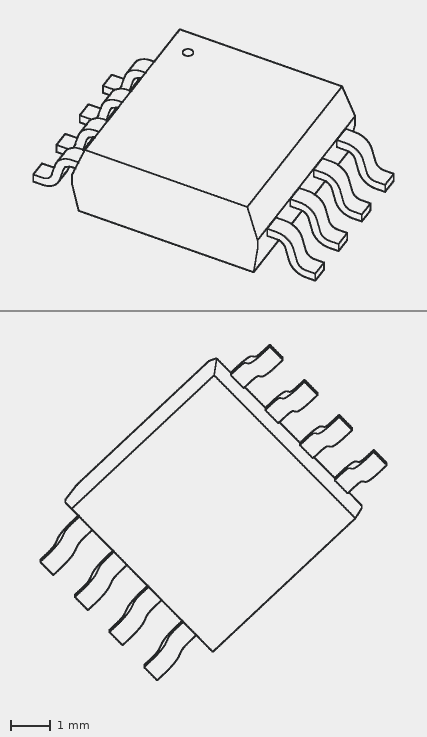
import cadquery as cq
import math

housing_side = 5.334
housing_height = 2.16
band_height = 0.29
end_draft_top = 19.7
end_draft_bottom = 9.3
side_draft = 4.7

overall_length = 8.1
leads_per_side = 4
lead_pitch = 1.27
lead_width = 0.48
lead_thickness = 0.245
lead_bend_radius = 0.265
lead_bend_angle = 75.0
shoulder_length = 0.265

marker_diameter = 0.27
marker_depth = 0.1
marker_edge_distance = 0.6

mid_height = housing_height / 2
half_side = housing_side / 2
band_bottom = mid_height - band_height / 2
band_top = mid_height + band_height / 2
taper_height = housing_height - band_top
first_lead_y = lead_pitch * (leads_per_side - 1) / 2
marker_x = -half_side + taper_height * math.tan(math.radians(end_draft_top)) + marker_edge_distance


def tapered_block(base_z, end_z, end_draft):
    """Frustum from the band's outline at base_z to a smaller rectangle at end_z."""
    rise = abs(end_z - base_z)
    length = housing_side - 2 * rise * math.tan(math.radians(end_draft))
    width = housing_side - 2 * rise * math.tan(math.radians(side_draft))
    return (
        cq.Workplane("XY", origin=(0, 0, base_z))
        .rect(housing_side, housing_side)
        .workplane(offset=end_z - base_z)
        .rect(length, width)
        .loft(ruled=True)
    )


def make_marker():
    """Disc that fills the pin 1 recess flush with the top of the housing."""
    return (
        cq.Workplane("XY", origin=(marker_x, first_lead_y, housing_height - marker_depth))
        .circle(marker_diameter / 2)
        .extrude(marker_depth)
    )


def make_housing():
    band = (
        cq.Workplane("XY", origin=(0, 0, band_bottom))
        .rect(housing_side, housing_side)
        .extrude(band_height)
    )
    upper = tapered_block(band_top, housing_height, end_draft_top)
    lower = tapered_block(band_bottom, 0, end_draft_bottom)
    return band.union(upper).union(lower).cut(make_marker())


def make_lead(y):
    """Lead on the +X side, centred on y: shoulder, two opposite bends, sloping leg and foot."""
    angle = math.radians(lead_bend_angle)
    inner = lead_bend_radius
    outer = inner + lead_thickness
    top = mid_height + lead_thickness / 2
    bottom = mid_height - lead_thickness / 2
    tip = overall_length / 2

    leg_drop = bottom - (inner + outer) * (1 - math.cos(angle))
    leg_run = leg_drop / math.tan(angle)

    upper_x = half_side + shoulder_length
    upper_z = bottom - inner
    lower_x = upper_x + (inner + outer) * math.sin(angle) + leg_run
    lower_z = outer

    def on_upper(radius, turn):
        return (upper_x + radius * math.sin(turn), upper_z + radius * math.cos(turn))

    def on_lower(radius, turn):
        return (lower_x - radius * math.sin(turn), lower_z - radius * math.cos(turn))

    return (
        cq.Workplane("XZ", origin=(0, y + lead_width / 2, 0))
        .moveTo(half_side, top)
        .lineTo(upper_x, top)
        .threePointArc(on_upper(outer, angle / 2), on_upper(outer, angle))
        .lineTo(*on_lower(inner, angle))
        .threePointArc(on_lower(inner, angle / 2), on_lower(inner, 0))
        .lineTo(tip, lead_thickness)
        .lineTo(tip, 0)
        .lineTo(lower_x, 0)
        .threePointArc(on_lower(outer, angle / 2), on_lower(outer, angle))
        .lineTo(*on_upper(inner, angle))
        .threePointArc(on_upper(inner, angle / 2), on_upper(inner, 0))
        .lineTo(half_side, bottom)
        .close()
        .extrude(lead_width)
    )


housing = make_housing()
marker = make_marker()

leads = []
for index in range(leads_per_side):
    lead = make_lead(first_lead_y - index * lead_pitch)
    leads.append(lead.val())
    leads.append(lead.rotate((0, 0, 0), (0, 0, 1), 180).val())

result = cq.Compound.makeCompound([housing.val(), marker.val(), *leads])